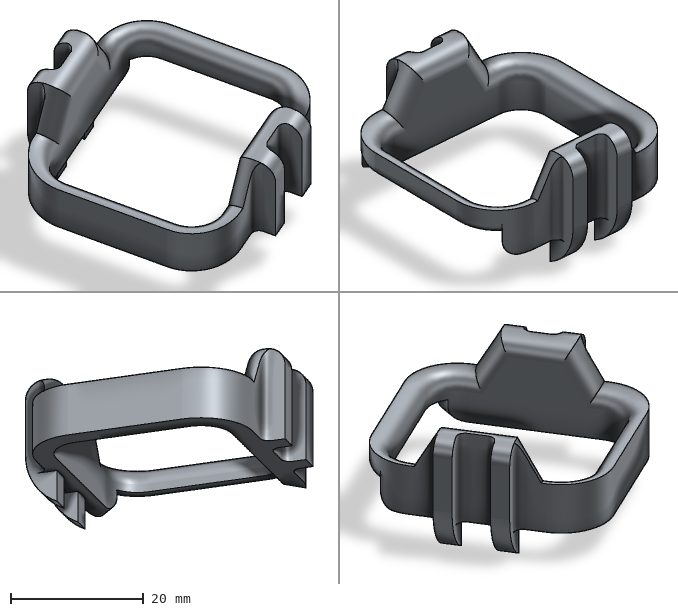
import cadquery as cq
import math

overall_width = 41.7
ring_width = 34.75
ring_length = 37.9
wall = 3.2
corner_radius = 8.2
ring_height = 8.2
top_round = 3.15

tab_height = 15.0
tab_base_half_length = 9.95

arm_thickness = 3.0
arm_spacing = 9.0
arm_top_radius = 3.0
root_fillet = 1.45
hook_depth = 5.0
hook_width = 5.1
hook_start_height = 3.05

rear_bar_height = 4.45
rear_bar_round = 1.95
relief_round = 2.65

DIAGONAL = math.sqrt(0.5)
half_width = ring_width / 2
half_overall = overall_width / 2
tab_top_half_length = (arm_spacing + arm_thickness) / 2
arm_centers = (-arm_spacing / 2, arm_spacing / 2)


def rounded_block(width, length, radius, bottom, top):
    """Upright block with rounded vertical corners."""
    block = cq.Workplane("XY").workplane(offset=bottom).rect(width, length).extrude(top - bottom)
    return block.edges("|Z").fillet(radius)


def make_ring():
    outer = rounded_block(ring_width, ring_length, corner_radius, 0, ring_height)
    inner = rounded_block(
        ring_width - 2 * wall, ring_length - 2 * wall, corner_radius - wall, 0, ring_height
    )
    ring = outer.cut(inner)
    opening = cq.selectors.BoxSelector(
        (-half_width + wall / 2, -ring_length / 2 + wall / 2, 0),
        (half_width - wall / 2, ring_length / 2 - wall / 2, 2 * ring_height),
        boundingbox=True,
    )
    return ring.faces(">Z").edges(opening).fillet(top_round)


def cut_rear_relief(ring):
    """Leave a shallow rear bar between body ends cut along the plan diagonals."""
    rounded_outline = rounded_block(
        ring_width, ring_length, corner_radius, ring_height - rear_bar_height, ring_height
    ).faces("<Z").edges().fillet(rear_bar_round)
    rear_zone = cq.Workplane("XY").box(
        ring_width, ring_length, ring_height, centered=(True, False, False)
    )
    rear_bar = ring.intersect(rear_zone).intersect(rounded_outline)

    zone_size = 2 * overall_width
    right_zone = (
        cq.Workplane("XY")
        .box(zone_size, zone_size, ring_height, centered=(True, False, False))
        .translate((0, -zone_size, 0))
        .edges(">Y and <Z")
        .fillet(relief_round)
        .rotate((0, 0, 0), (0, 0, 1), 45)
    )
    body_zone = right_zone.union(right_zone.mirror("YZ"))
    return ring.intersect(body_zone).union(rear_bar)


def side_silhouette():
    """Trapezoidal limit of a tab, extruded through the whole width."""
    return (
        cq.Workplane("YZ")
        .moveTo(-tab_base_half_length, 0)
        .lineTo(-tab_base_half_length, ring_height)
        .lineTo(-tab_top_half_length, tab_height)
        .lineTo(tab_top_half_length, tab_height)
        .lineTo(tab_base_half_length, ring_height)
        .lineTo(tab_base_half_length, 0)
        .close()
        .extrude(half_overall, both=True)
    )


def make_tab():
    """Left tab, rounded along its inner upper edges including the slopes."""
    tab_zone = (
        cq.Workplane("XY")
        .box(wall, 2 * tab_base_half_length, tab_height, centered=(False, True, False))
        .translate((-half_width, 0, 0))
    )
    tab = side_silhouette().intersect(tab_zone)
    inner_edges = tab.faces(">X").edges("not(|Z or <Z)")
    return inner_edges.fillet(top_round)


def root_fillets(center):
    """Concave fillets on both sides of an arm where it meets the wall."""
    fillets = cq.Workplane("XY")
    for side in (-1, 1):
        face = center + side * arm_thickness / 2
        outer = face + side * root_fillet
        corner = (
            cq.Workplane("XY")
            .moveTo(-half_width, face)
            .lineTo(-half_width - root_fillet, face)
            .threePointArc(
                (-half_width - root_fillet * (1 - DIAGONAL), outer - side * root_fillet * DIAGONAL),
                (-half_width, outer),
            )
            .close()
            .extrude(tab_height)
        )
        fillets = fillets.add(corner)
    return fillets.combine()


def make_arms():
    """Pair of left arms that stop level with the bottom of the ring."""
    envelope = (
        cq.Workplane("XZ")
        .moveTo(-half_width, 0)
        .lineTo(-half_overall, 0)
        .lineTo(-half_overall, tab_height - arm_top_radius)
        .threePointArc(
            (
                -half_overall + arm_top_radius * (1 - DIAGONAL),
                tab_height - arm_top_radius * (1 - DIAGONAL),
            ),
            (-half_overall + arm_top_radius, tab_height),
        )
        .lineTo(-half_width, tab_height)
        .close()
        .extrude(tab_base_half_length, both=True)
        .intersect(side_silhouette())
    )
    arm_length = half_overall - half_width
    arms = cq.Workplane("XY")
    for center in arm_centers:
        bar = (
            cq.Workplane("XY")
            .box(arm_length, arm_thickness, tab_height, centered=(False, True, False))
            .translate((-half_overall, center, 0))
        )
        arms = arms.add(bar.union(root_fillets(center)))
    return arms.combine().intersect(envelope)


def shape_hooks(part):
    """Curve the lower ends of the left arms inward and below the ring."""
    drop = hook_start_height + hook_depth
    radius = (hook_width**2 + drop**2) / (2 * hook_width)
    half_angle = math.asin(drop / radius) / 2
    arc_middle = (
        -half_overall + radius * (1 - math.cos(half_angle)),
        hook_start_height - radius * math.sin(half_angle),
    )
    hook_tip = (-half_overall + hook_width, -hook_depth)
    for center in arm_centers:
        hook_start = cq.Workplane("XZ", origin=(0, center, 0)).moveTo(-half_overall, hook_start_height)
        hook = (
            hook_start.threePointArc(arc_middle, hook_tip)
            .lineTo(hook_tip[0], hook_start_height)
            .close()
            .extrude(arm_thickness / 2, both=True)
        )
        outside = (
            hook_start.threePointArc(arc_middle, hook_tip)
            .lineTo(-half_overall, -hook_depth)
            .close()
            .extrude(arm_thickness / 2, both=True)
        )
        part = part.cut(outside).union(hook)
    return part


left_side = make_tab().union(make_arms())
right_side = left_side.mirror("YZ")
ring = cut_rear_relief(make_ring())
result = shape_hooks(ring.union(left_side).union(right_side))